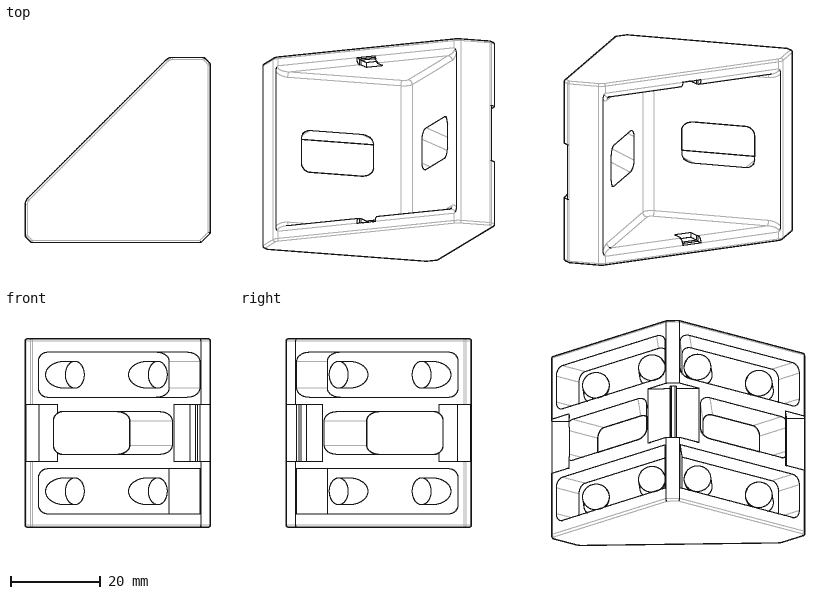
import cadquery as cq
import math

LEG = 41.3
HEIGHT = 42.0
MID_Z = HEIGHT / 2
FAR = 2 * LEG

TOE_WIDTH = 9.32
TOE_CHAMFER = 1.4
TOE_CHAMFER_RADIUS = 0.67
CORNER_CHAMFER = 2.15
TOE_RADIUS = 2.0
EDGE_RADIUS = 0.5

LEG_THICKNESS = 9.5
SIDE_WALL = 3.5
RIM_RADIUS = 1.35
CAVITY_CORNER_RADIUS = 2.0
FLOOR_RADIUS = 1.0

CLIP_WIDTH = 4.55
CLIP_MOUTH_DEPTH = 1.7
CLIP_WINDOW_DEPTH = 4.4
CLIP_STEP = 0.25

POCKET_START = 3.0
POCKET_END = 38.95
POCKET_DEPTH = 6.85
POCKET_HEIGHT = 10.05
POCKET_RADIUS = 2.0
POCKET_OFFSET = 12.98

PEG_RADIUS = 3.0
PEG_END_X = 11.1
PEG_END_Y = 4.55
PEG_PITCH = 18.5

SLOT_START = 6.35
SLOT_END = 32.8
SLOT_HEIGHT = 9.5
SLOT_RADIUS = 2.0

NOTCH_HEIGHT = 12.6
TOE_NOTCH_WIDTH = 7.2
TOE_NOTCH_FLOOR = -1.05
CORNER_NOTCH_FLOOR = 33.2
RIDGE_WIDTH = 1.4
RIDGE_TOP = 36.08
RIDGE_CHAMFER = 0.3

ROOT2 = math.sqrt(2)


def mirrored(shape):
    """Copy a shape from the leg along X to the leg along Y."""
    return shape.mirror((1, 1, 0), (LEG / 2, LEG / 2, 0))


def prism(points, z_middle, height):
    """Extrude an XY outline symmetrically about the height z_middle."""
    return cq.Workplane("XY", origin=(0, 0, z_middle - height / 2)).polyline(points).close().extrude(height)


def diagonal_box(sum_min, sum_max, diff_min, diff_max, z_middle, height):
    """Box turned by 45 degrees, bounded by values of x + y and of x - y."""
    corners = [(sum_min, diff_min), (sum_max, diff_min), (sum_max, diff_max), (sum_min, diff_max)]
    points = [((s + d) / 2, (s - d) / 2) for s, d in corners]
    return prism(points, z_middle, height)


def make_blank():
    outline = [
        (TOE_CHAMFER, 0),
        (LEG - CORNER_CHAMFER, 0),
        (LEG, CORNER_CHAMFER),
        (LEG, LEG - TOE_CHAMFER),
        (LEG - TOE_CHAMFER, LEG),
        (LEG - TOE_WIDTH, LEG),
        (0, TOE_WIDTH),
        (0, TOE_CHAMFER),
    ]
    blank = prism(outline, MID_Z, HEIGHT)
    for x, y in [(0, TOE_WIDTH), (LEG - TOE_WIDTH, LEG)]:
        blank = blank.edges(cq.NearestToPointSelector((x, y, MID_Z))).fillet(TOE_RADIUS)
    toe_chamfer_ends = [
        (0, TOE_CHAMFER),
        (TOE_CHAMFER, 0),
        (LEG - TOE_CHAMFER, LEG),
        (LEG, LEG - TOE_CHAMFER),
    ]
    for x, y in toe_chamfer_ends:
        blank = blank.edges(cq.NearestToPointSelector((x, y, MID_Z))).fillet(TOE_CHAMFER_RADIUS)
    return blank.faces("<Z or >Z").edges().fillet(EDGE_RADIUS)


def make_cavity_frame():
    """Oversized block holding the slanted face and the finished cavity, to be trimmed to the blank.

    The legs run on past the slanted face here, so that the floor fillets end cleanly outside the part.
    """
    inner_x = LEG - LEG_THICKNESS
    between_legs = [(-FAR, LEG_THICKNESS), (inner_x, LEG_THICKNESS), (inner_x, FAR), (-FAR, FAR)]
    beyond_slant = [
        (-FAR, LEG_THICKNESS),
        (LEG_THICKNESS - TOE_WIDTH, LEG_THICKNESS),
        (inner_x, inner_x + TOE_WIDTH),
        (inner_x, FAR),
        (-FAR, FAR),
    ]
    cavity = prism(between_legs, MID_Z, HEIGHT - 2 * SIDE_WALL)
    inner_corner = cq.NearestToPointSelector((inner_x, LEG_THICKNESS, MID_Z))
    cavity = cavity.edges(inner_corner).fillet(CAVITY_CORNER_RADIUS)
    frame = cq.Workplane("XY").box(2 * FAR, 2 * FAR, HEIGHT).translate((0, 0, MID_Z))
    frame = frame.cut(cavity).cut(prism(beyond_slant, MID_Z, HEIGHT))

    slant_x = (LEG - TOE_WIDTH) / 2
    for z in (SIDE_WALL, HEIGHT - SIDE_WALL):
        rim = cq.NearestToPointSelector((slant_x, slant_x + TOE_WIDTH, z))
        frame = frame.edges(rim).fillet(RIM_RADIUS)
    for z in (SIDE_WALL, HEIGHT - SIDE_WALL):
        floor_edge = cq.NearestToPointSelector((LEG / 2, LEG_THICKNESS, z))
        frame = frame.edges(floor_edge).fillet(FLOOR_RADIUS)
    return frame


def make_clip_recesses():
    """Cutter for both recesses at once, as they face each other across the cavity."""
    def clip_box(depth, inset):
        half_width = (CLIP_WIDTH / 2 - inset) * ROOT2
        height = HEIGHT - 2 * (SIDE_WALL - RIM_RADIUS + inset)
        return diagonal_box(
            LEG - half_width, LEG + half_width, -TOE_WIDTH, depth * ROOT2 - TOE_WIDTH, MID_Z, height
        )

    mouth = clip_box(CLIP_MOUTH_DEPTH, 0)
    inner_end = cq.DirectionMinMaxSelector(cq.Vector(1, -1, 0))
    mouth = mouth.faces(inner_end).edges().chamfer(CLIP_STEP)
    return mouth.union(clip_box(CLIP_WINDOW_DEPTH, CLIP_STEP))


def make_pocket(z_middle, rounded_end):
    """Pocket with one square end wall and one 45 degree end wall, holding two pegs."""
    points = [
        (POCKET_START, 0),
        (POCKET_END, 0),
        (POCKET_END - POCKET_DEPTH, POCKET_DEPTH),
        (POCKET_START, POCKET_DEPTH),
    ]
    pocket = prism(points, z_middle, POCKET_HEIGHT).edges("|Y").fillet(POCKET_RADIUS)
    if rounded_end:
        pocket = pocket.edges(cq.ParallelDirSelector(cq.Vector(1, -1, 0))).fillet(POCKET_RADIUS)
    for x in (PEG_END_X, PEG_END_X + PEG_PITCH):
        peg_end = cq.Plane(origin=(x, PEG_END_Y, z_middle), xDir=(0, 0, 1), normal=(-1, 1, 0))
        pocket = pocket.cut(cq.Workplane(peg_end).circle(PEG_RADIUS).extrude(FAR))
    return pocket


def make_slot():
    points = [
        (SLOT_START, 0),
        (SLOT_END, 0),
        (SLOT_END - LEG_THICKNESS, LEG_THICKNESS),
        (SLOT_START, LEG_THICKNESS),
    ]
    slot = prism(points, MID_Z, SLOT_HEIGHT).edges("|Y").fillet(SLOT_RADIUS)
    return slot.edges(cq.ParallelDirSelector(cq.Vector(1, -1, 0))).fillet(SLOT_RADIUS)


def make_toe_notch():
    return diagonal_box(-FAR, TOE_NOTCH_WIDTH, TOE_NOTCH_FLOOR, FAR, MID_Z, NOTCH_HEIGHT)


def make_corner_notch():
    half_ridge = RIDGE_WIDTH / ROOT2
    notch = diagonal_box(0, FAR, CORNER_NOTCH_FLOOR, FAR, MID_Z, NOTCH_HEIGHT)
    ridge = diagonal_box(
        LEG - half_ridge, LEG + half_ridge, CORNER_NOTCH_FLOOR, RIDGE_TOP, MID_Z, NOTCH_HEIGHT
    )
    top_edges = ridge.faces(cq.DirectionMinMaxSelector(cq.Vector(1, -1, 0))).edges("|Z")
    return notch.cut(top_edges.chamfer(RIDGE_CHAMFER))


leg_cutters = [
    make_pocket(MID_Z + POCKET_OFFSET, rounded_end=True),
    make_pocket(MID_Z - POCKET_OFFSET, rounded_end=False),
    make_slot(),
    make_toe_notch(),
]

result = make_blank().intersect(make_cavity_frame())
result = result.cut(make_clip_recesses()).cut(make_corner_notch())
for cutter in leg_cutters:
    result = result.cut(cutter).cut(mirrored(cutter))